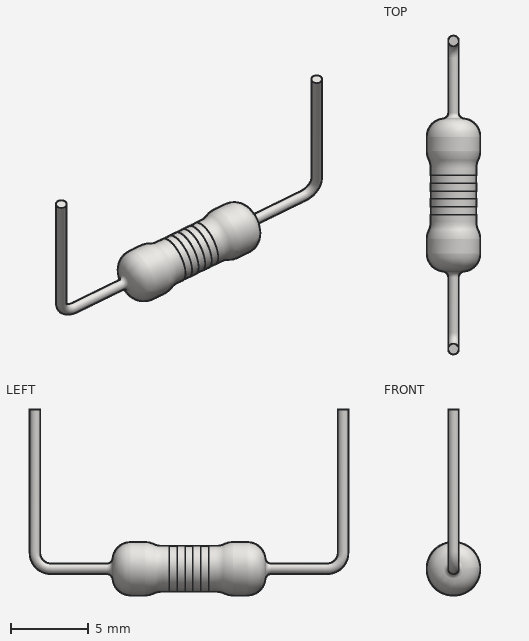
import cadquery as cq
import math


lead_diameter = 0.7
lead_pitch = 20.0
lead_top = 10.35
bend_radius = 1.05

cap_diameter = 3.5
waist_diameter = 3.0
groove_diameter = 2.98
band_count = 7
band_width = 0.512
cap_start = 2.84
dome_start = 3.78
dome_radius = 1.2
collar_fillet = 0.35

lead_radius = lead_diameter / 2
cap_radius = cap_diameter / 2
waist_radius = waist_diameter / 2
groove_radius = groove_diameter / 2
waist_end = band_count * band_width / 2

shoulder_length = cap_start - waist_end
shoulder_rise = cap_radius - waist_radius
shoulder_radius = (shoulder_length**2 + shoulder_rise**2) / (4 * shoulder_rise)
shoulder_mid_y = (waist_end + cap_start) / 2
shoulder_mid_r = (waist_radius + cap_radius) / 2

dome_center_r = cap_radius - dome_radius
collar_center_r = lead_radius + collar_fillet
center_distance = dome_radius + collar_fillet
contact_angle = math.asin((collar_center_r - dome_center_r) / center_distance)
collar_end = dome_start + center_distance * math.cos(contact_angle)


def arc_point(center_r, center_y, radius, angle):
    """Point (r, y) on an arc; the angle is measured from +Y towards +r."""
    return (center_r + radius * math.sin(angle), center_y + radius * math.cos(angle))


def make_half_body():
    """Half of the body, from its middle plane out to +Y, without the recessed bands."""
    quarter_turn = math.pi / 2
    shoulder_angle = math.asin(shoulder_length / 2 / shoulder_radius)
    concave_mid = arc_point(
        waist_radius + shoulder_radius, waist_end, shoulder_radius, shoulder_angle / 2 - quarter_turn
    )
    convex_mid = arc_point(
        cap_radius - shoulder_radius, cap_start, shoulder_radius, quarter_turn + shoulder_angle / 2
    )
    dome_mid = arc_point(dome_center_r, dome_start, dome_radius, (quarter_turn + contact_angle) / 2)
    dome_end = arc_point(dome_center_r, dome_start, dome_radius, contact_angle)
    collar_mid_angle = math.pi + (contact_angle + quarter_turn) / 2
    collar_mid = arc_point(collar_center_r, collar_end, collar_fillet, collar_mid_angle)
    return (
        cq.Workplane("XY")
        .lineTo(waist_radius, 0)
        .lineTo(waist_radius, waist_end)
        .threePointArc(concave_mid, (shoulder_mid_r, shoulder_mid_y))
        .threePointArc(convex_mid, (cap_radius, cap_start))
        .lineTo(cap_radius, dome_start)
        .threePointArc(dome_mid, dome_end)
        .threePointArc(collar_mid, (lead_radius, collar_end))
        .lineTo(0, collar_end)
        .close()
        .revolve(360, (0, 0, 0), (0, 1, 0))
    )


def make_groove(center_y):
    """Thin ring that recesses one band of the waist."""
    return (
        cq.Workplane("XZ", origin=(0, center_y + band_width / 2, 0))
        .circle(cap_radius)
        .circle(groove_radius)
        .extrude(band_width)
    )


def make_lead():
    """Lead leaving the body at +Y and bending up to +Z."""
    upright_y = lead_pitch / 2
    bend_start = upright_y - bend_radius
    straight = (
        cq.Workplane("XZ", origin=(0, collar_end, 0))
        .circle(lead_radius)
        .extrude(collar_end - bend_start)
    )
    bend = (
        cq.Workplane("XZ", origin=(0, bend_start, 0))
        .circle(lead_radius)
        .revolve(90, (-1, bend_radius, 0), (1, bend_radius, 0))
    )
    upright = (
        cq.Workplane("XY", origin=(0, upright_y, bend_radius))
        .circle(lead_radius)
        .extrude(lead_top - bend_radius)
    )
    return straight.union(bend).union(upright)


half_body = make_half_body()
body = half_body.union(half_body.mirror("XZ"))
for band in range(1, band_count, 2):
    body = body.cut(make_groove((band + 0.5) * band_width - waist_end))

lead = make_lead()
result = body.union(lead).union(lead.mirror("XZ"))